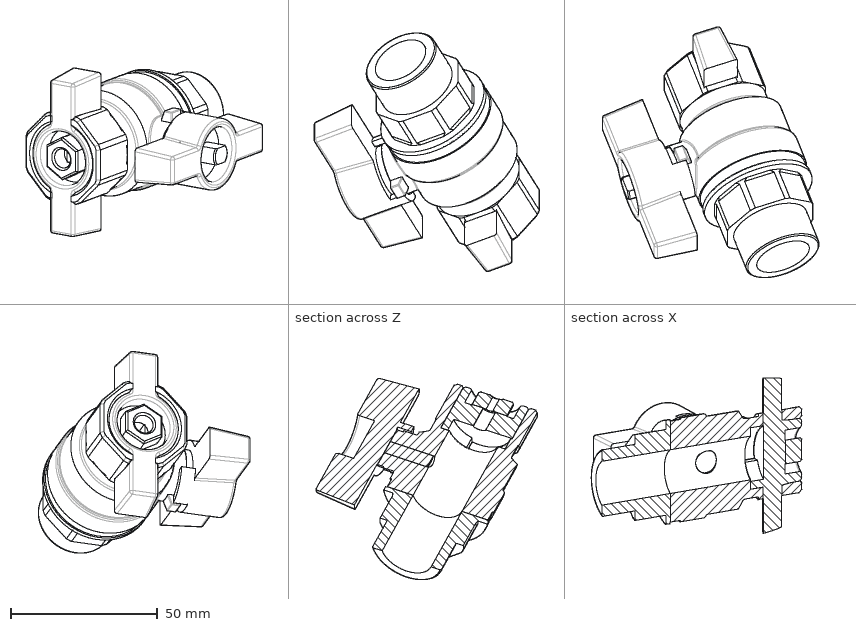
import cadquery as cq
import math


OCTAGON_FLATS = 31.0
OCTAGON_CORNER_DIA = 32.75
BODY_DIA = 39.0
LIP_DIA = 38.0
BARREL_DIA = 37.0
THREAD_DIA = 26.45
SOCKET_DIA = 24.1
BORE_DIA = 19.0
LEAD_IN_ANGLE = 45.0
EDGE = 1.0
STEP_FILLET = 0.5
RUNOUT_ANGLE = 20.0
THREAD_CHAMFER = 0.5

INLET_Y = -35.1
INLET_OCTAGON_END_Y = -18.1
SHOULDER_END_Y = -12.4
BARREL_START_Y = -10.45
BARREL_END_Y = 1.9
BODY_START_Y = 2.65
LIP_START_Y = 12.3
SEAM_Y = 16.2
FLANGE_END_Y = 17.95
OUTLET_OCTAGON_END_Y = 29.9
OUTLET_Y = 42.9

HANDLE_FACE_X = 40.6
HANDLE_HEIGHT = 15.0
HANDLE_BASE_X = HANDLE_FACE_X - HANDLE_HEIGHT
HUB_DIA = 24.8
WING_SPAN = 56.0
WING_WIDTH = 12.0
WING_DRAFT = 4.0
SKIRT_LENGTH = 5.0
SKIRT_INNER_DIA = 20.0
SKIRT_START_X = HANDLE_BASE_X - SKIRT_LENGTH
SLOT_WIDTH = 4.5

NUT_FLATS = 13.0
NUT_HEIGHT = 6.5
NUT_HOLE_DIA = 6.6
NUT_CHAMFER = 0.6

STEM_DIA = 8.0
STEM_FLATS = 5.7
STEM_TIP_X = 41.9
STEM_CHAMFER = 0.5
NECK_DIA = 19.0
NECK_END_X = 23.25
COLLAR_DIA = 18.0
NECK_FILLET = 0.5
STOP_WIDTH = 5.45
STOP_START_X = 18.7
STOP_RAMP_END_X = 20.05
STOP_REACH = 12.8
STOP_FILLET = 0.3

OCTAGON_SIDES = 8
HEXAGON_SIDES = 6
SELECT_MARGIN = 0.1


def disc_y(diameter, start, end):
    """Cylinder along Y."""
    return cq.Workplane("XZ", origin=(0, start, 0)).circle(diameter / 2).extrude(start - end)


def disc_x(diameter, start, end):
    """Cylinder along X."""
    return cq.Workplane("YZ", origin=(start, 0, 0)).circle(diameter / 2).extrude(end - start)


def octagon_y(start, end):
    """Octagonal prism along Y with flats facing X and Z."""
    corner_dia = OCTAGON_FLATS / math.cos(math.pi / OCTAGON_SIDES)
    return (
        cq.Workplane("XZ", origin=(0, start, 0))
        .transformed(rotate=(0, 0, 180 / OCTAGON_SIDES))
        .polygon(OCTAGON_SIDES, corner_dia)
        .extrude(start - end)
    )


def circles_at(y):
    """Selector for the edges centred on the flow axis at one Y position."""
    return cq.selectors.BoxSelector(
        (-SELECT_MARGIN, y - SELECT_MARGIN, -SELECT_MARGIN), (SELECT_MARGIN, y + SELECT_MARGIN, SELECT_MARGIN)
    )


def double_d_x(width, start, end):
    """Round bar along X with two flats facing Z."""
    flats = cq.Workplane("XY").box(end - start, STEM_DIA, width).translate(((start + end) / 2, 0, 0))
    return disc_x(STEM_DIA, start, end).intersect(flats)


def to_inlet(part):
    """Carry a part from the stem side to the inlet, its face flush with the inlet end."""
    turned = part.rotate((0, 0, 0), (1, 0, 0), 90).rotate((0, 0, 0), (0, 0, 1), -90)
    return turned.translate((0, INLET_Y + HANDLE_FACE_X, 0))


def make_handle():
    hub = disc_x(HUB_DIA, HANDLE_BASE_X, HANDLE_FACE_X)
    wings = (
        cq.Workplane("YZ", origin=(HANDLE_BASE_X, 0, 0))
        .rect(WING_SPAN, WING_WIDTH)
        .extrude(HANDLE_HEIGHT, taper=WING_DRAFT)
    )
    handle = hub.union(wings)

    lengthwise = cq.selectors.BoxSelector(
        (HANDLE_BASE_X + EDGE, -WING_SPAN, -WING_SPAN), (HANDLE_FACE_X - EDGE, WING_SPAN, WING_SPAN)
    )
    handle = handle.edges(lengthwise).edges("not(|X)").fillet(EDGE)
    handle = handle.faces(">X").edges().fillet(EDGE)

    recess_floor_x = HANDLE_FACE_X - NUT_HEIGHT
    handle = handle.cut(disc_x(BORE_DIA, recess_floor_x, HANDLE_FACE_X))
    innermost = cq.selectors.RadiusNthSelector(0)
    handle = handle.faces(">X").edges("%CIRCLE").edges(innermost).fillet(EDGE)
    handle = handle.cut(double_d_x(SLOT_WIDTH, HANDLE_BASE_X, recess_floor_x))

    ring = disc_x(HUB_DIA, SKIRT_START_X, HANDLE_BASE_X).cut(
        disc_x(SKIRT_INNER_DIA, SKIRT_START_X, HANDLE_BASE_X)
    )
    for side in (-1, 1):
        offset = side * (STOP_WIDTH + HUB_DIA) / 2
        quadrant = (
            cq.Workplane("YZ", origin=(SKIRT_START_X, 0, 0))
            .center(offset, offset)
            .rect(HUB_DIA, HUB_DIA)
            .extrude(SKIRT_LENGTH)
        )
        handle = handle.union(ring.intersect(quadrant))
    return handle


def make_nut():
    back_x = HANDLE_FACE_X - NUT_HEIGHT
    corner_dia = NUT_FLATS / math.cos(math.pi / HEXAGON_SIDES)
    nut = cq.Workplane("YZ", origin=(back_x, 0, 0)).polygon(HEXAGON_SIDES, corner_dia).extrude(NUT_HEIGHT)
    nut = nut.faces(">X").chamfer(NUT_CHAMFER)
    nut = nut.cut(disc_x(NUT_HOLE_DIA, back_x, HANDLE_FACE_X))
    return nut.faces(">X").edges("%CIRCLE").chamfer((STEM_DIA - NUT_HOLE_DIA) / 2)


def make_stem():
    slot_end_x = HANDLE_FACE_X - NUT_HEIGHT
    shank = disc_x(STEM_DIA, BORE_DIA / 2, HANDLE_BASE_X)
    tang = double_d_x(SLOT_WIDTH, HANDLE_BASE_X, slot_end_x)
    tip = disc_x(STEM_DIA, slot_end_x, STEM_TIP_X).faces(">X").chamfer(STEM_CHAMFER)
    tip = tip.intersect(double_d_x(STEM_FLATS, slot_end_x, STEM_TIP_X))
    return shank.union(tang).union(tip)


def make_stops():
    outline = [
        (STOP_START_X, 0),
        (STOP_START_X, NECK_DIA / 2),
        (STOP_RAMP_END_X, STOP_REACH),
        (NECK_END_X, STOP_REACH),
        (NECK_END_X, 0),
    ]
    upper = cq.Workplane("XZ").polyline(outline).close().extrude(STOP_WIDTH / 2, both=True)
    upper = upper.edges("not(<Z)").fillet(STOP_FILLET)
    return upper.union(upper.mirror("XY"))


def make_housing(inlet_handle):
    profile = [
        (0, INLET_OCTAGON_END_Y),
        (OCTAGON_FLATS / 2, INLET_OCTAGON_END_Y),
        (OCTAGON_FLATS / 2, SHOULDER_END_Y),
        (BARREL_DIA / 2, BARREL_START_Y),
        (BARREL_DIA / 2, BARREL_END_Y),
        (BODY_DIA / 2, BODY_START_Y),
        (BODY_DIA / 2, LIP_START_Y),
        (LIP_DIA / 2, LIP_START_Y),
        (LIP_DIA / 2, SEAM_Y),
        (0, SEAM_Y),
    ]
    housing = cq.Workplane("XY").polyline(profile).close().revolve(360, (0, 0, 0), (0, 1, 0))
    for y, radius in ((BODY_START_Y, EDGE), (SHOULDER_END_Y, EDGE), (BARREL_END_Y, STEP_FILLET)):
        housing = housing.edges(circles_at(y)).fillet(radius)

    housing = housing.union(disc_x(NECK_DIA, 0, NECK_END_X))
    neck_radius = NECK_DIA / 2
    joint = cq.selectors.BoxSelector(
        (neck_radius, -neck_radius, -neck_radius), (STOP_START_X, neck_radius, neck_radius)
    )
    housing = housing.edges(joint).edges("not(%CIRCLE)").edges("not(%LINE)").fillet(NECK_FILLET)
    housing = housing.union(disc_x(COLLAR_DIA, NECK_END_X, HANDLE_BASE_X))
    housing = housing.union(make_stops())

    inlet = octagon_y(INLET_Y, INLET_OCTAGON_END_Y)
    inlet = inlet.intersect(disc_y(OCTAGON_CORNER_DIA, INLET_Y, INLET_OCTAGON_END_Y))
    housing = housing.union(inlet.faces("<Y").chamfer(EDGE))

    socket_end_y = INLET_Y + HANDLE_HEIGHT + SKIRT_LENGTH
    housing = housing.cut(disc_y(BORE_DIA, INLET_Y, SEAM_Y))
    housing = housing.cut(disc_y(SOCKET_DIA, INLET_Y, socket_end_y))
    lead_in = (THREAD_DIA - SOCKET_DIA) / 2
    mouth = cq.Workplane("XZ", origin=(0, INLET_Y, 0)).circle(THREAD_DIA / 2)
    housing = housing.cut(mouth.extrude(-lead_in, taper=LEAD_IN_ANGLE))
    housing = housing.cut(disc_x(STEM_DIA, 0, HANDLE_BASE_X))
    return housing.cut(inlet_handle)


def make_connector():
    runout_y = FLANGE_END_Y + EDGE
    flats = octagon_y(runout_y, OUTLET_OCTAGON_END_Y)
    runout = flats.faces("<Y").wires().toPending().workplane().extrude(EDGE, taper=-RUNOUT_ANGLE)
    octagon = flats.union(runout).intersect(disc_y(OCTAGON_CORNER_DIA, FLANGE_END_Y, OUTLET_OCTAGON_END_Y))

    thread = disc_y(THREAD_DIA, OUTLET_OCTAGON_END_Y, OUTLET_Y).faces(">Y").chamfer(THREAD_CHAMFER)
    connector = disc_y(BODY_DIA, SEAM_Y, FLANGE_END_Y).union(octagon).union(thread)
    return connector.cut(disc_y(BORE_DIA, SEAM_Y, OUTLET_Y))


handle = make_handle()
handles = [handle, to_inlet(handle)]
nut = to_inlet(make_nut())
stem = make_stem()
housing = make_housing(handles[1])
connector = make_connector()

result = cq.Compound.makeCompound(
    [housing.val(), connector.val(), stem.val(), nut.val(), *[item.val() for item in handles]]
)